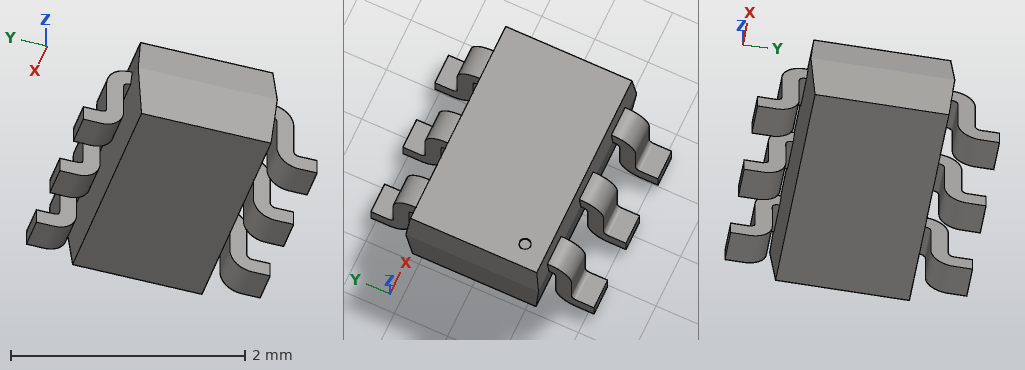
import cadquery as cq
import math

body_length = 2.0
body_width = 1.25
body_bottom = 0.057
parting_height = 0.555
body_top = 0.9
draft_angle = 5

lead_count = 3
lead_pitch = 0.65
lead_width = 0.28
lead_thickness = 0.151
lead_span = 2.1
shank_outer = 0.84
shoulder_inner_radius = 0.05
foot_inner_radius = 0.046

dimple_radius = 0.05
dimple_depth = 0.025
dimple_x = -0.77
dimple_y = -0.393


def tapered_half(height):
    """Half of the body, narrowing away from the parting plane by the draft angle."""
    half = cq.Workplane("XY").rect(body_length, body_width).extrude(abs(height), taper=draft_angle)
    if height < 0:
        half = half.mirror("XY")
    return half.translate((0, 0, parting_height))


def front_lead(x_center):
    """Gull-wing lead leaving the -Y side at the parting plane, with its foot on Z = 0."""
    shank_inner = shank_outer - lead_thickness
    lead_top = parting_height + lead_thickness
    shoulder_outer_radius = shoulder_inner_radius + lead_thickness
    foot_outer_radius = foot_inner_radius + lead_thickness
    shoulder_y = shank_outer - shoulder_outer_radius
    shoulder_z = lead_top - shoulder_outer_radius
    foot_y = shank_outer + foot_inner_radius
    foot_z = foot_outer_radius
    tip_y = lead_span / 2
    root_y = body_width / 2 - lead_thickness
    diagonal = math.sqrt(0.5)

    def on_shoulder(radius):
        return (-shoulder_y - radius * diagonal, shoulder_z + radius * diagonal)

    def on_foot(radius):
        return (-foot_y + radius * diagonal, foot_z - radius * diagonal)

    profile = (
        cq.Workplane("YZ")
        .moveTo(-root_y, lead_top)
        .lineTo(-shoulder_y, lead_top)
        .threePointArc(on_shoulder(shoulder_outer_radius), (-shank_outer, shoulder_z))
        .lineTo(-shank_outer, foot_z)
        .threePointArc(on_foot(foot_inner_radius), (-foot_y, lead_thickness))
        .lineTo(-tip_y, lead_thickness)
        .lineTo(-tip_y, 0)
        .lineTo(-foot_y, 0)
        .threePointArc(on_foot(foot_outer_radius), (-shank_inner, foot_z))
        .lineTo(-shank_inner, shoulder_z)
        .threePointArc(on_shoulder(shoulder_inner_radius), (-shoulder_y, parting_height))
        .lineTo(-root_y, parting_height)
        .close()
    )
    return profile.extrude(lead_width / 2, both=True).translate((x_center, 0, 0))


def pin_one_dimple():
    """Shallow round recess marking pin 1."""
    return (
        cq.Workplane("XY", origin=(dimple_x, dimple_y, body_top - dimple_depth))
        .circle(dimple_radius)
        .extrude(dimple_depth)
    )


upper_half = tapered_half(body_top - parting_height)
lower_half = tapered_half(body_bottom - parting_height)
result = upper_half.union(lower_half)

for index in range(lead_count):
    lead_x = (index - (lead_count - 1) / 2) * lead_pitch
    lead = front_lead(lead_x)
    result = result.union(lead).union(lead.mirror("XZ"))

result = result.cut(pin_one_dimple())